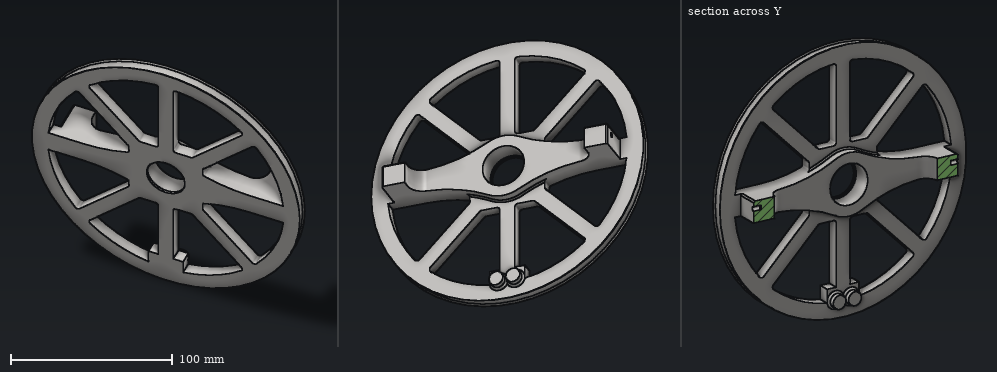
import cadquery as cq
import math

wheel_radius = 90.7
wheel_thickness = 8.2
rim_inner_radius = 79.8
hub_square = 49.9
spoke_width = 10.2
window_fillet = 2.0

groove_depth = 1.0
flange_tip = 0.2
flange_root = flange_tip + groove_depth

bar_width = 14.9
bar_half_length = 75.3
bar_back = 14.9
hub_radius = 21.2
flare_start = 56.2
base_chamfer = 1.0

bore_radius = 12.9
bore_lip = 1.6
seat_radius = 13.8

post_back = 30.0
post_inner = 59.9
post_root_radius = 9.0
post_chamfer = 1.0
pin_hole_diameter = 2.7
pin_hole_depth = 5.5
pin_hole_y = 22.7
pin_hole_z = 2.2

pad_width = 23.5
pad_top = -69.7
rim_overlap = 1.8
peg_radius = 4.7
peg_base_chamfer = 1.5
peg_base_radius = peg_radius + peg_base_chamfer
peg_x = pad_width / 2 - peg_base_radius
peg_z = -78.0
peg_back = 13.0


def sketch_plane(y):
    """Plane parallel to the wheel face, with sketch axes X and Z."""
    return cq.Workplane("XZ", origin=(0, y, 0))


def block(x_size, z_size, y_start, y_end):
    return sketch_plane(y_start).rect(x_size, z_size).extrude(y_start - y_end)


def cylinder(radius, y_start, y_end):
    return sketch_plane(y_start).circle(radius).extrude(y_start - y_end)


def bar_outline(y, half_length):
    """Bar outline whose edges sweep tangentially into the round hub."""
    half = bar_width / 2
    flare_radius = (flare_start**2 + half**2 - hub_radius**2) / (2 * (hub_radius - half))
    flare_z = half + flare_radius
    to_flare = math.atan2(flare_z, flare_start)
    tangent_x = hub_radius * math.cos(to_flare)
    tangent_z = hub_radius * math.sin(to_flare)
    mid_angle = (to_flare + math.pi / 2) / 2
    mid_x = flare_start - flare_radius * math.cos(mid_angle)
    mid_z = flare_z - flare_radius * math.sin(mid_angle)
    return (
        sketch_plane(y)
        .moveTo(half_length, -half)
        .lineTo(half_length, half)
        .lineTo(flare_start, half)
        .threePointArc((mid_x, mid_z), (tangent_x, tangent_z))
        .threePointArc((0, hub_radius), (-tangent_x, tangent_z))
        .threePointArc((-mid_x, mid_z), (-flare_start, half))
        .lineTo(-half_length, half)
        .lineTo(-half_length, -half)
        .lineTo(-flare_start, -half)
        .threePointArc((-mid_x, -mid_z), (-tangent_x, -tangent_z))
        .threePointArc((0, -hub_radius), (tangent_x, -tangent_z))
        .threePointArc((mid_x, -mid_z), (flare_start, -half))
        .close()
    )


def make_disc():
    """Solid disc with the belt groove turned into its edge."""
    floor_radius = wheel_radius - groove_depth
    profile = [
        (0, 0),
        (wheel_radius, 0),
        (wheel_radius, flange_tip),
        (floor_radius, flange_root),
        (floor_radius, wheel_thickness - flange_root),
        (wheel_radius, wheel_thickness - flange_tip),
        (wheel_radius, wheel_thickness),
        (0, wheel_thickness),
    ]
    return cq.Workplane("XY").polyline(profile).close().revolve(360, (0, 0, 0), (0, 1, 0))


def make_windows(y_end):
    """Openings between the spokes, with rounded corners."""
    windows = cylinder(rim_inner_radius, 0, y_end)
    windows = windows.cut(block(hub_square, hub_square, 0, y_end))
    windows = windows.cut(bar_outline(0, wheel_radius).extrude(-y_end))
    spoke = block(spoke_width, 2 * wheel_radius, 0, y_end)
    for angle in (-45, 0, 45):
        windows = windows.cut(spoke.rotate((0, 0, 0), (0, 1, 0), angle))
    corners = windows.edges("|Y").filter(lambda edge: not is_beside_straight_bar(edge.Center()))
    return corners.fillet(window_fillet)


def is_beside_straight_bar(point):
    return abs(point.x) > hub_square and abs(point.z) < bar_width


def make_post():
    """Post on the +X end of the bar, chamfered along the edges of its upper outer corner."""
    length = bar_half_length - flare_start
    post = block(length, bar_width, wheel_thickness, post_back)
    post = post.edges("(>X and >Y) or (>X and >Z) or (>Y and >Z)").chamfer(post_chamfer)
    post = post.translate((flare_start + length / 2, 0, 0))
    hole = (
        cq.Workplane("YZ", origin=(bar_half_length, pin_hole_y, pin_hole_z))
        .circle(pin_hole_diameter / 2)
        .extrude(-pin_hole_depth)
    )
    return post.cut(hole)


def make_bar():
    """Bar with a post on each end, rounded where the posts rise from it."""
    post = make_post()
    bar = bar_outline(0, post_inner).extrude(-post_back)
    bar = bar.union(post).union(post.mirror("YZ"))
    gap = block(2 * post_inner, 3 * hub_radius, bar_back, 2 * post_back)
    gap = gap.edges("|Z and <Y").fillet(post_root_radius)
    return bar.cut(gap)


def make_hub_base():
    """Sloping collar where the hub rises from the back of the wheel."""
    outline = bar_outline(wheel_thickness, post_inner).offset2D(base_chamfer, "intersection")
    return outline.extrude(-base_chamfer, taper=45)


def make_pad():
    """Block filling the corner between the bottom spoke and the rim."""
    pad_height = pad_top + rim_inner_radius + rim_overlap
    pad = block(pad_width, pad_height, 0, wheel_thickness)
    return pad.translate((0, 0, pad_top - pad_height / 2))


def make_peg(x):
    base = (
        sketch_plane(wheel_thickness)
        .circle(peg_base_radius)
        .workplane(offset=-peg_base_chamfer)
        .circle(peg_radius)
        .loft()
    )
    peg = base.union(cylinder(peg_radius, 0, peg_back))
    return peg.translate((x, 0, peg_z))


def make_bore():
    lip = cylinder(bore_radius, 0, bore_lip)
    seat = cylinder(seat_radius, bore_lip, bar_back)
    return lip.union(seat)


wheel = make_disc().union(make_hub_base()).cut(make_windows(bar_back))
result = wheel.union(make_bar()).union(make_pad())
for x in (-peg_x, peg_x):
    result = result.union(make_peg(x))
result = result.cut(make_bore())